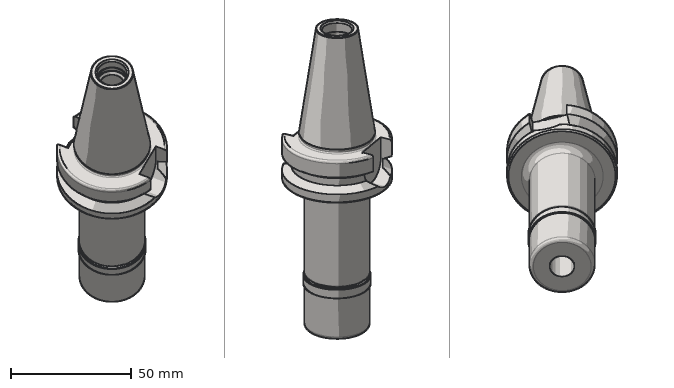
import cadquery as cq

total_length = 138.4
gauge_z = 90.0
flange_top_z = 88.0
grip_groove_top_z = 80.4
grip_groove_floor_top_z = 78.0
grip_groove_floor_bottom_z = 74.7
grip_groove_bottom_z = 72.5
flange_bottom_z = 68.2
relief_top_z = 25.3
collar_top_z = 24.0
collar_bottom_z = 19.5

gauge_radius = 15.9
taper_neck_radius = 15.5
flange_radius = 23.0
grip_groove_radius = 19.1
body_radius = 13.7
relief_radius = 12.5
collar_radius = 14.1
taper_slope = 7 / 48
taper_tip_radius = gauge_radius - taper_slope * (total_length - gauge_z)

flange_top_round = 1.1
flange_bottom_chamfer = 0.7
tip_chamfer = 0.3
neck_chamfer = 0.4
neck_root_fillet = 0.5
body_root_fillet = 3.3
nose_round = 1.7
relief_shoulder_round = 0.8
collar_chamfer = 0.3

slot_width = 16.2
slot_floor_x = 16.3
slot_bottom_z = 70.5

bore_radius = 5.1
counterbore_radius = 6.2
counterbore_depth = 7.0
bore_mouth_radius = 6.9
bore_relief_radius = 6.5
bore_relief_width = 2.2


def make_shank():
    """Revolve the outer profile: nose, collar, body, flange and taper."""
    profile = (
        cq.Workplane("XZ")
        .lineTo(body_radius - nose_round, 0)
        .radiusArc((body_radius, nose_round), -nose_round)
        .lineTo(body_radius, collar_bottom_z)
        .lineTo(collar_radius - collar_chamfer, collar_bottom_z)
        .lineTo(collar_radius, collar_bottom_z + collar_chamfer)
        .lineTo(collar_radius, collar_top_z - collar_chamfer)
        .lineTo(collar_radius - collar_chamfer, collar_top_z)
        .lineTo(relief_radius, collar_top_z)
        .lineTo(relief_radius, relief_top_z - relief_shoulder_round)
        .lineTo(body_radius - relief_shoulder_round, relief_top_z - relief_shoulder_round)
        .radiusArc((body_radius, relief_top_z), -relief_shoulder_round)
        .lineTo(body_radius, flange_bottom_z - body_root_fillet)
        .radiusArc((body_radius + body_root_fillet, flange_bottom_z), body_root_fillet)
        .lineTo(flange_radius - flange_bottom_chamfer, flange_bottom_z)
        .lineTo(flange_radius, flange_bottom_z + flange_bottom_chamfer)
        .lineTo(flange_radius, grip_groove_bottom_z)
        .lineTo(grip_groove_radius, grip_groove_floor_bottom_z)
        .lineTo(grip_groove_radius, grip_groove_floor_top_z)
        .lineTo(flange_radius, grip_groove_top_z)
        .lineTo(flange_radius, flange_top_z - flange_top_round)
        .radiusArc((flange_radius - flange_top_round, flange_top_z), -flange_top_round)
        .lineTo(taper_neck_radius + neck_root_fillet, flange_top_z)
        .radiusArc((taper_neck_radius, flange_top_z + neck_root_fillet), neck_root_fillet)
        .lineTo(taper_neck_radius, gauge_z - neck_chamfer)
        .lineTo(gauge_radius, gauge_z)
        .lineTo(taper_tip_radius, total_length - tip_chamfer)
        .lineTo(taper_tip_radius - tip_chamfer, total_length)
        .lineTo(0, total_length)
        .close()
    )
    return profile.revolve(360, (0, 0, 0), (0, 1, 0))


def make_bore():
    """Through bore with a counterbore, relieved at its conical floor, in the taper tip."""
    mouth_chamfer = bore_mouth_radius - counterbore_radius
    relief_bottom_z = total_length - counterbore_depth
    relief_top_edge_z = relief_bottom_z + bore_relief_width
    cone_bottom_z = relief_bottom_z - (counterbore_radius - bore_radius)
    profile = (
        cq.Workplane("XZ")
        .lineTo(bore_radius, 0)
        .lineTo(bore_radius, cone_bottom_z)
        .lineTo(counterbore_radius, relief_bottom_z)
        .lineTo(bore_relief_radius, relief_bottom_z)
        .lineTo(bore_relief_radius, relief_top_edge_z)
        .lineTo(counterbore_radius, relief_top_edge_z)
        .lineTo(counterbore_radius, total_length - mouth_chamfer)
        .lineTo(bore_mouth_radius, total_length)
        .lineTo(0, total_length)
        .close()
    )
    return profile.revolve(360, (0, 0, 0), (0, 1, 0))


def make_drive_slot(side):
    """Round-bottomed slot cutter on the +X (side=1) or -X (side=-1) flank."""
    slot_radius = slot_width / 2
    arc_centre_z = slot_bottom_z + slot_radius
    profile = (
        cq.Workplane("YZ", origin=(side * slot_floor_x, 0, 0))
        .moveTo(-slot_radius, flange_top_z)
        .lineTo(-slot_radius, arc_centre_z)
        .threePointArc((0, slot_bottom_z), (slot_radius, arc_centre_z))
        .lineTo(slot_radius, flange_top_z)
        .close()
    )
    return profile.extrude(side * flange_radius)


result = make_shank().cut(make_bore())
for side in (-1, 1):
    result = result.cut(make_drive_slot(side))